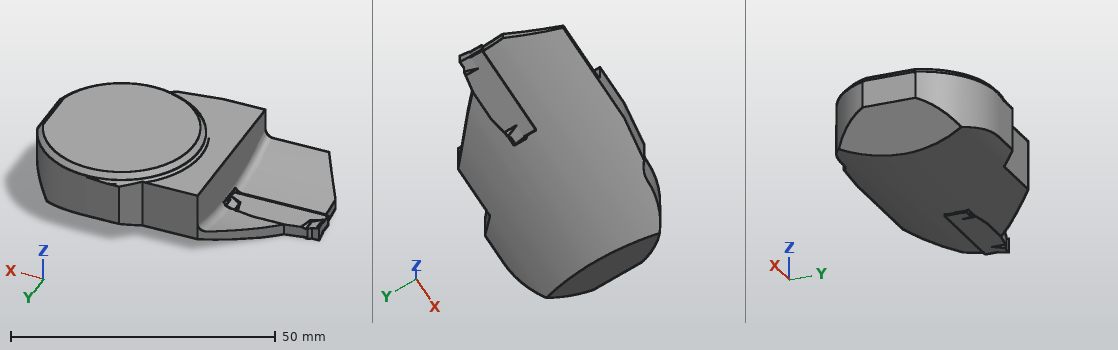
import cadquery as cq
import math


overall_length = 56.1

disc_top = 14.0
block_top = 12.35
blade_top = 2.3

body_radius = 16.05
disc_radius = 16.0
disc_chamfer = 1.05
collar_fillet = 0.55
flat_x = 15.1

tip_x = flat_x - overall_length
side_y = -18.8
block_front_x = tip_x + 19.6
blade_front_x = tip_x + 0.7
bottom_radius = 36.0
blade_radius = 46.35
root_fillet = 1.55
heel_cut = 7.5
neck_radius = 4.9
block_far_y = 12.8
shoulder_x = -10.05
shoulder_run = 3.4
taper_start = (-12.75, side_y)
taper_end = (-3.5, -17.5)
blade_corner_near = (tip_x + 6.4, side_y)
blade_corner_front = (blade_front_x, -8.9)
blade_kink = (tip_x + 10.15, 4.75)

insert_length = 19.95
insert_mid_x = tip_x + insert_length / 2
insert_near_y = -4.5
insert_far_y = 1.5
insert_bottom = 0.0
insert_top = blade_top
end_relief = 0.2
far_flat_half = 3.3
neck_half = 7.75
neck_y = 0.75
end_chamfer = 0.15

tooth_length = 3.1
tooth_near_y = -1.9
tooth_far_y = 0.3
tooth_tip_length = 1.5
tooth_bottom = -0.3
keel_length = 2.25
edge_height = 2.65

rake_length = 2.5
rake_end_height = 1.95
land_length = 0.6
rake_near_y = -2.9
rake_bend_y = -1.85
rake_wall_foot = 0.15
rake_wall_run = 1.05

pocket_ceiling = 3.35
pocket_stop_x = tip_x + insert_length - end_relief
pocket_end_x = tip_x + insert_length + end_relief
pocket_stop_y = -2.5

through = overall_length


def plan_prism(points, low, high):
    """Vertical prism over a polygon in plan."""
    return cq.Workplane("XY").workplane(offset=low).polyline(points).close().extrude(high - low)


def y_prism(profile):
    """Long prism along Y over a profile in the XZ plane."""
    return cq.Workplane("XZ").workplane(offset=-through).polyline(profile).close().extrude(2 * through)


def x_cylinder(radius, lowest_z):
    """Long cylinder along X whose lowest line is at y = 0 and the given height."""
    return (cq.Workplane("YZ").workplane(offset=-through)
            .center(0, lowest_z + radius).circle(radius).extrude(2 * through))


def holder_blank():
    """Holder outline from the blade to the flat, up to the top of the disc."""
    half_flat = math.sqrt(body_radius**2 - flat_x**2)
    diagonal = body_radius * math.sin(math.pi / 4)
    return (
        cq.Workplane("XY")
        .moveTo(*blade_corner_front)
        .lineTo(*blade_corner_near)
        .lineTo(*taper_start)
        .lineTo(*taper_end)
        .radiusArc((0, -body_radius), neck_radius)
        .threePointArc((diagonal, -diagonal), (flat_x, -half_flat))
        .lineTo(flat_x, half_flat)
        .threePointArc((diagonal, diagonal), (0, body_radius))
        .lineTo(shoulder_x + shoulder_run, body_radius)
        .lineTo(shoulder_x, block_far_y)
        .lineTo(block_front_x, block_far_y)
        .lineTo(*blade_kink)
        .lineTo(insert_mid_x - far_flat_half, insert_far_y)
        .lineTo(blade_front_x, insert_far_y)
        .close()
        .extrude(disc_top)
    )


def disc_envelope():
    """Chamfered disc with its collar fillet, on a wide slab up to the block top."""
    fillet_mid = collar_fillet * (1 - math.sin(math.pi / 4))
    round_disc = (
        cq.Workplane("XZ")
        .moveTo(0, block_top)
        .lineTo(disc_radius + collar_fillet, block_top)
        .threePointArc((disc_radius + fillet_mid, block_top + fillet_mid),
                       (disc_radius, block_top + collar_fillet))
        .lineTo(disc_radius, disc_top - disc_chamfer)
        .lineTo(disc_radius - disc_chamfer, disc_top)
        .lineTo(0, disc_top)
        .close()
        .revolve(360, (0, 0, 0), (0, 1, 0))
    )
    flat_chamfer = y_prism(
        [(flat_x, disc_top - disc_chamfer), (flat_x - disc_chamfer, disc_top), (flat_x, disc_top)])
    below = cq.Workplane("XY").box(2 * through, 2 * through, block_top, centered=(True, True, False))
    return below.union(round_disc.cut(flat_chamfer))


def above_blade():
    """Space over the blade, with the rounded root against the block."""
    space = (
        cq.Workplane("XY")
        .box(through, 2 * through, through, centered=(False, True, False))
        .translate((block_front_x - through, 0, 0))
        .intersect(x_cylinder(blade_radius, blade_top))
    )
    return space.faces(">X").edges("<Z").fillet(root_fillet)


def heel():
    """Wedge removed under the back end."""
    return y_prism([(flat_x - heel_cut, 0), (flat_x, heel_cut), (flat_x, 0)])


def pocket():
    """Insert seat, open to the front and below, with a clear corner at the inner end."""
    near_edge = [(tip_x, insert_near_y), (pocket_stop_x, insert_near_y), (pocket_stop_x, pocket_stop_y),
                 (pocket_end_x, tooth_near_y), (pocket_end_x, neck_y)]
    far_edge = [(insert_mid_x + neck_half, neck_y), (insert_mid_x + far_flat_half, insert_far_y),
                (tip_x, insert_far_y)]
    return plan_prism(near_edge + far_edge, tooth_bottom, pocket_ceiling)


def make_holder():
    """Disc, block and blade, with the seat for the insert."""
    return (
        holder_blank()
        .intersect(disc_envelope())
        .intersect(x_cylinder(bottom_radius, 0))
        .cut(above_blade())
        .cut(heel())
        .cut(pocket())
    )


def rake_line():
    """Rake face in the XZ plane, from its inner end out to the cutting edge."""
    return [(tip_x + rake_length, rake_end_height), (tip_x + land_length, insert_top), (tip_x, edge_height)]


def make_tooth():
    """Front cutting tooth: its top slopes down from the edge, its underside fades out towards -Y."""
    plan = plan_prism(
        [(tip_x + end_relief, tooth_near_y), (tip_x + tooth_length, tooth_near_y),
         (tip_x + tooth_length, neck_y), (insert_mid_x - neck_half, neck_y),
         (tip_x + tooth_tip_length, tooth_far_y), (tip_x, tooth_far_y)],
        tooth_bottom, edge_height)
    side = y_prism(
        [(tip_x, tooth_bottom), (tip_x + keel_length, tooth_bottom), (tip_x + tooth_length, insert_bottom),
         (tip_x + tooth_length, rake_end_height)] + rake_line())
    under = (
        cq.Workplane("YZ").workplane(offset=-through)
        .polyline([(tooth_near_y, tooth_bottom), (tooth_near_y, insert_bottom), (tooth_far_y, tooth_bottom)])
        .close().extrude(2 * through)
    )
    return plan.intersect(side).cut(under)


def rake_recess():
    """Chip recess behind the front cutting edge: sloping floor and a leaning back wall."""
    wall_x = tip_x + rake_length
    top_x = wall_x + rake_wall_run
    front_edge = [(tip_x, insert_far_y), (tip_x, rake_near_y), (tip_x + land_length, rake_near_y)]
    low = front_edge + [(wall_x, rake_bend_y), (wall_x, insert_far_y)]
    high = front_edge + [(wall_x + rake_wall_foot, rake_bend_y), (top_x, insert_far_y)]
    space = (
        cq.Workplane("XY").workplane(offset=rake_end_height).polyline(low).close()
        .workplane(offset=insert_top - rake_end_height).polyline(high).close()
        .loft(ruled=True)
    )
    over_floor = y_prism([(top_x, edge_height), (top_x, rake_end_height)] + rake_line())
    return space.intersect(over_floor)


def at_both_ends(shape):
    """The shape at the front end and its mirror image at the inner end."""
    mirrored = shape.mirror("YZ", (insert_mid_x, 0, 0))
    return [shape, mirrored]


def mirror_to_far_end(points):
    """The same plan points at the other end of the insert, in reverse order."""
    return [(2 * insert_mid_x - x, y) for x, y in reversed(points)]


def make_insert():
    """Insert with the same cutting end at both ends."""
    front_half = [(tip_x + end_relief, insert_near_y), (tip_x + end_relief, tooth_far_y),
                  (tip_x + tooth_tip_length, tooth_far_y),
                  (insert_mid_x - neck_half, neck_y), (insert_mid_x - far_flat_half, insert_far_y)]
    insert = plan_prism(front_half + mirror_to_far_end(front_half), insert_bottom, insert_top)
    insert = insert.faces("<X or >X").edges("<Z").chamfer(end_chamfer)
    for tooth in at_both_ends(make_tooth()):
        insert = insert.union(tooth)
    for recess in at_both_ends(rake_recess()):
        insert = insert.cut(recess)
    return insert


holder = make_holder()
insert = make_insert()

result = cq.Compound.makeCompound([holder.solids().val(), insert.solids().val()])